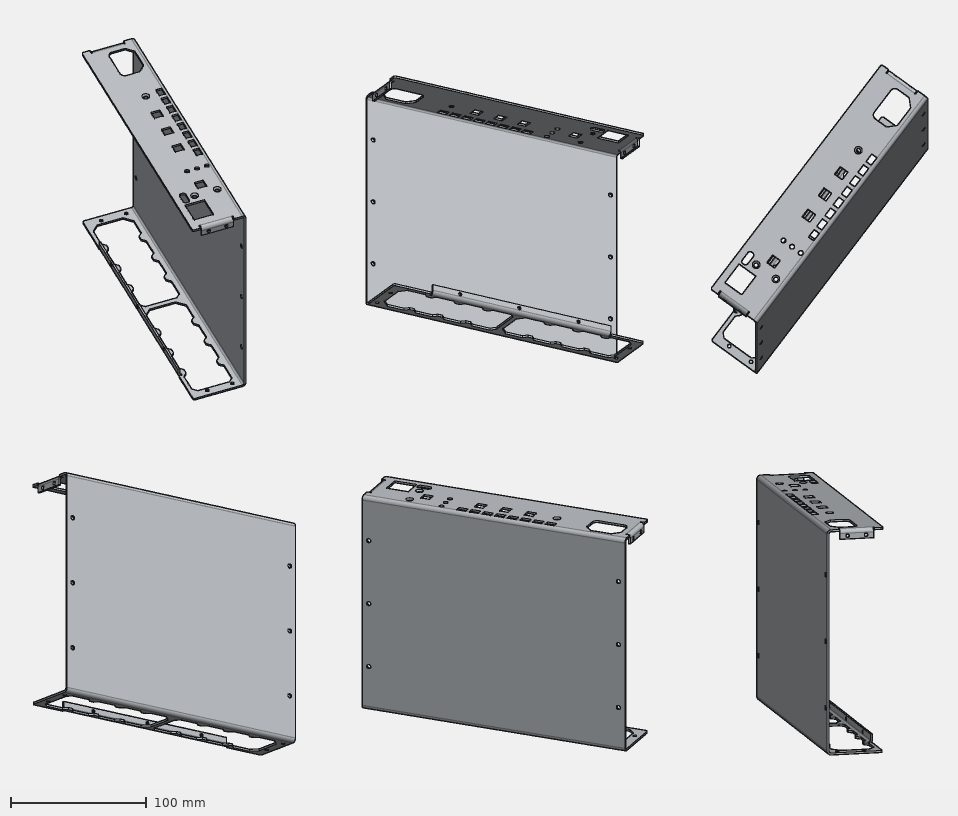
import cadquery as cq
import math

width = 211.21
depth = 42.7
height = 169.21
half_width = width / 2

sheet = 1.6
bend_radius = 3.1
inner_radius = bend_radius - sheet
top_inside = height - sheet
corner_radius = 1.6
relief_width = 0.7

wall_hole_diameter = 3.2
wall_hole_x = 100.3
wall_hole_pitch = 50.0

lip_left = -73.0
lip_right = 77.3
lip_height = 7.6
lip_hole_diameter = 2.53
lip_hole_pitch = 50.0
lip_hole_z = 4.9
bottom_flange_setback = 0.6

tab_center_y = -22.75
tab_length = 25.5
tab_height = 7.6
tab_hole_diameter = 2.53
tab_hole_pitch = 14.0
tab_hole_drop = 5.15

outlet_count = 4
outlet_pitch = 23.9
window_left_ends = (-97.6, 2.4)
window_front_left_chamfer = 5.1
window_length = 96.1
window_back = -7.0
window_front = -38.95
window_back_left_chamfer = 6.1
window_right_chamfer = 3.4
tooth_depth = 3.0
tooth_tip_width = 3.8
first_tooth_offset = 25.1

flange_hole_diameter = 2.53
flange_hole_x = 101.0
flange_hole_y = (-9.0, -29.0)

inlet_left = -97.6
inlet_right = -69.9
inlet_back = -5.9
inlet_front = -25.5
inlet_chamfer = 5.6
inlet_fillet = 3.8

vent_count = 8
vent_pitch = 10.16
vent_size = (7.0, 4.7)
vent_first_x = -43.5
vent_y = -5.8
square_size = 7.0
square_centers = ((-22.0, -17.6), (-2.0, -17.6), (18.0, -17.6), (61.3, -17.8))
port_size = (17.5, 15.4)
port_center = (86.7, -29.4)
slot_size = (10.9, 5.0)
slot_radius = 2.2
slot_center = (70.6, -34.5)
led_diameter = 3.5
led_x = 44.2
led_y = (-5.6, -13.5, -21.4)
screw_diameter = 3.2
screw_head_diameter = 5.7
screw_centers = ((-43.3, -17.7), (71.0, -8.5), (71.0, -26.6))


def box(x0, x1, y0, y1, z0, z1):
    """Box between two opposite corners."""
    return cq.Workplane("XY").box(x1 - x0, y1 - y0, z1 - z0, centered=False).translate((x0, y0, z0))


def bend_profile(plane, leg):
    """Section of a quarter bend with a straight leg; local x points into the flange, y along the leg."""
    outer_mid = bend_radius * (1 - math.sqrt(0.5))
    inner_mid = bend_radius - inner_radius * math.sqrt(0.5)
    return (
        cq.Workplane(plane)
        .moveTo(bend_radius, 0)
        .threePointArc((outer_mid, outer_mid), (0, bend_radius))
        .lineTo(0, leg)
        .lineTo(sheet, leg)
        .lineTo(sheet, bend_radius)
        .threePointArc((inner_mid, inner_mid), (bend_radius, sheet))
        .close()
    )


def round_cutters(centers, z_bottom, diameter):
    """Round cutters standing on z_bottom, one sheet thickness tall."""
    return (
        cq.Workplane("XY", origin=(0, 0, z_bottom))
        .pushPoints(centers)
        .circle(diameter / 2)
        .extrude(sheet)
    )


def top_rectangles(centers, size):
    """Rectangular cutters through the top flange."""
    return cq.Workplane("XY", origin=(0, 0, top_inside)).pushPoints(centers).rect(*size).extrude(sheet)


def make_channel():
    """Back wall with the top and bottom flanges."""
    outer = box(-half_width, half_width, -depth, 0, 0, height).edges("|X and >Y").fillet(bend_radius)
    inner = box(-half_width, half_width, -depth, -sheet, sheet, top_inside)
    inner = inner.edges("|X and >Y").fillet(inner_radius)
    setback = box(-half_width, half_width, -depth, -depth + bottom_flange_setback, 0, sheet)
    channel = outer.cut(inner).cut(setback)
    flange_corners = cq.selectors.BoxSelector(
        (-width, -depth - sheet, -sheet),
        (width, -depth + bend_radius, height + sheet),
    )
    return channel.edges("|Z").edges(flange_corners).fillet(corner_radius)


def add_lip(body):
    """Front lip bent up from the bottom flange between two relief cuts."""
    bend_end = -depth + bend_radius
    clearance = box(lip_left - relief_width, lip_right + relief_width, -depth, bend_end, 0, sheet)
    plane = cq.Plane(origin=(lip_left, -depth, 0), xDir=(0, 1, 0), normal=(1, 0, 0))
    lip = bend_profile(plane, lip_height).extrude(lip_right - lip_left)
    holes = (
        cq.Workplane("XZ", origin=(0, -depth, lip_hole_z))
        .pushPoints([(step * lip_hole_pitch, 0) for step in (-1, 0, 1)])
        .circle(lip_hole_diameter / 2)
        .extrude(-sheet)
    )
    return body.cut(clearance).union(lip).cut(holes)


def add_tab(body, side):
    """Tab bent down from the top flange; side is -1 at the left end and +1 at the right end."""
    edge = side * half_width
    bend_end = edge - side * bend_radius
    back = tab_center_y + tab_length / 2
    front = tab_center_y - tab_length / 2
    x_range = sorted((edge, bend_end))
    clearance = box(*x_range, front - relief_width, back + relief_width, top_inside, height)
    plane = cq.Plane(origin=(edge, tab_center_y, height), xDir=(-side, 0, 0), normal=(0, -side, 0))
    tab = bend_profile(plane, tab_height).extrude(tab_length / 2, both=True)
    holes = (
        cq.Workplane("YZ", origin=(edge, tab_center_y, height - tab_hole_drop))
        .pushPoints([(-tab_hole_pitch / 2, 0), (tab_hole_pitch / 2, 0)])
        .circle(tab_hole_diameter / 2)
        .extrude(-side * sheet)
    )
    return body.cut(clearance).union(tab).cut(holes)


def cut_wall_holes(body):
    """Two columns of mounting holes through the back wall."""
    centers = [(side * wall_hole_x, step * wall_hole_pitch) for side in (-1, 1) for step in (-1, 0, 1)]
    holes = (
        cq.Workplane("XZ", origin=(0, 0, height / 2))
        .pushPoints(centers)
        .circle(wall_hole_diameter / 2)
        .extrude(sheet)
    )
    return body.cut(holes)


def outlet_window(left):
    """Cutter for one window: a chamfered rectangle with teeth between neighbouring outlets."""
    right = left + window_length
    outline = cq.Workplane("XY").polyline(
        [
            (left + window_back_left_chamfer, window_back),
            (right - window_right_chamfer, window_back),
            (right, window_back - window_right_chamfer),
            (right, window_front + window_right_chamfer),
            (right - window_right_chamfer, window_front),
            (left + window_front_left_chamfer, window_front),
            (left, window_front + window_front_left_chamfer),
            (left, window_back - window_back_left_chamfer),
        ]
    )
    window = outline.close().extrude(sheet)
    tooth_base_half = tooth_tip_width / 2 + tooth_depth
    tooth_tip_half = tooth_tip_width / 2
    for index in range(outlet_count - 1):
        center = left + first_tooth_offset + index * outlet_pitch
        for edge, tip in (
            (window_back, window_back - tooth_depth),
            (window_front, window_front + tooth_depth),
        ):
            tooth = cq.Workplane("XY").polyline(
                [
                    (center - tooth_base_half, edge),
                    (center - tooth_tip_half, tip),
                    (center + tooth_tip_half, tip),
                    (center + tooth_base_half, edge),
                ]
            )
            window = window.cut(tooth.close().extrude(sheet))
    return window


def cut_bottom_flange(body):
    """Outlet windows and corner holes in the bottom flange."""
    for left in window_left_ends:
        body = body.cut(outlet_window(left))
    centers = [(side * flange_hole_x, y) for side in (-1, 1) for y in flange_hole_y]
    return body.cut(round_cutters(centers, 0, flange_hole_diameter))


def inlet_cutter():
    """Power inlet: chamfered at the back corners, rounded at the front corners."""
    inlet = box(inlet_left, inlet_right, inlet_front, inlet_back, top_inside, height)
    return inlet.edges("|Z and >Y").chamfer(inlet_chamfer).edges("|Z and <Y").fillet(inlet_fillet)


def screw_cutters():
    """Countersunk screw holes with 90 degree heads flush with the top face."""
    holes = round_cutters(screw_centers, top_inside, screw_diameter)
    sink_depth = (screw_head_diameter - screw_diameter) / 2
    for x, y in screw_centers:
        cone = cq.Solid.makeCone(
            screw_diameter / 2,
            screw_head_diameter / 2,
            sink_depth,
            pnt=cq.Vector(x, y, height - sink_depth),
        )
        holes = holes.union(cq.Workplane(cone))
    return holes


def cut_top_flange(body):
    """Connector, vent, indicator and screw openings in the top flange."""
    vents = [(vent_first_x + index * vent_pitch, vent_y) for index in range(vent_count)]
    slot = top_rectangles([slot_center], slot_size).edges("|Z").fillet(slot_radius)
    return (
        body.cut(inlet_cutter())
        .cut(top_rectangles(vents, vent_size))
        .cut(top_rectangles(square_centers, (square_size, square_size)))
        .cut(top_rectangles([port_center], port_size))
        .cut(slot)
        .cut(round_cutters([(led_x, y) for y in led_y], top_inside, led_diameter))
        .cut(screw_cutters())
    )


body = make_channel()
body = cut_bottom_flange(body)
body = add_lip(body)
for side in (-1, 1):
    body = add_tab(body, side)
body = cut_wall_holes(body)
result = cut_top_flange(body)